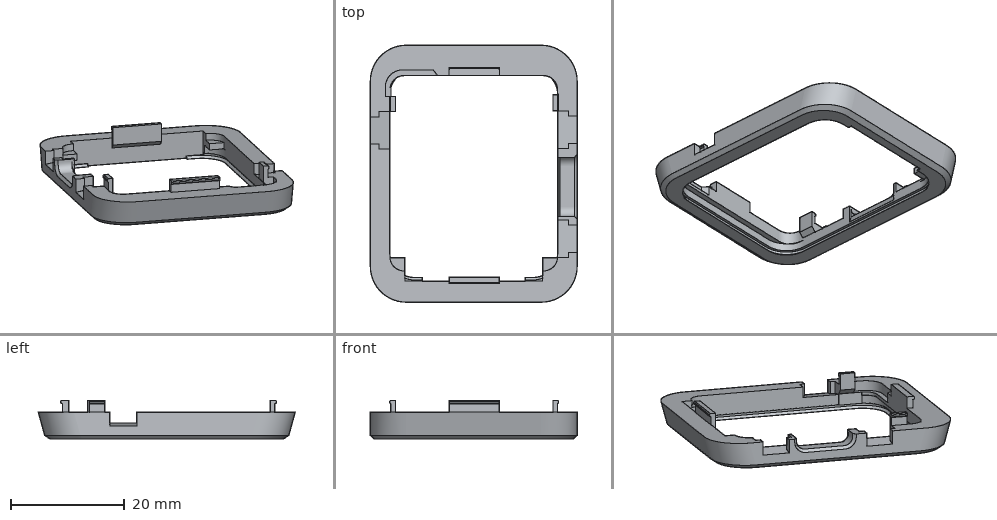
import cadquery as cq

BODY_X = 36.4
HALF_X = BODY_X / 2
BODY_Y = 45.2
RIM_Z = 4.75
CORNER_RADIUS = 6.35
TAPER_INSET_Y = 1.15
BEVEL_Z = 0.7
BEVEL_INSET_X = 0.72
BEVEL_INSET_Y = 1.0

OPENING_HALF_X = 14.75
OPENING_BACK_Y = 17.2
OPENING_FRONT_Y = -17.1
OPENING_RADIUS = 2.5
OPENING_SHELF_Z = 2.4
FRONT_BAY_HALF_X = 12.1
FRONT_BAY_Y = -18.9
BAY_SHOULDER_Y = -14.75
PAD_TOP_Z = 3.53

LOWER_HALF_Y = 18.2
LOWER_RADIUS = 4.3

UNDERCUT_DEPTH = 0.45
UNDERCUT_TOP_Z = 0.95

FOOT_GAP_HALF_X = 9.05

POCKET_FLOOR_Z = 3.0
POCKET_X = -15.55
POCKET_BACK_Y = 18.25
POCKET_RADIUS = 3.07
POCKET_END_X = -7.15
POCKET_SLANT = 0.8
LEDGE_WIDTH = 0.23
LEDGE_BACK_Y = 15.15

NOTCH_STEP_X = 16.65
NOTCH_OUTER_FLOOR_Z = 2.35
NOTCH_INNER_FLOOR_Z = 2.85
NOTCH_STEP_Y = 0.9
LEFT_NOTCH_Y = (4.35, 10.9)
RIGHT_BACK_NOTCH_Y = (4.45, 11.05)
RIGHT_FRONT_NOTCH_Y = (-14.75, -8.1)

SCOOP_FRONT_Y = -7.5
SCOOP_BACK_Y = 2.9
SCOOP_FLOOR_Z = 2.65
SCOOP_RADIUS = 1.6
SCOOP_BEVEL = 0.5
SCOOP_BEVEL_ANGLE = 45
SCOOP_INNER_STRIP = 0.45
SCOOP_STRIP_DROP = 1.3

TAB_TOP_Z = 6.83
HOOK_Z = 6.2
HOOK_CHAMFER = 0.2
TAB_ROOT_Z = 2.7
END_TAB_LENGTH = 8.85
END_TAB_CENTER_X = 0.1
LEFT_TAB_Y = (LEFT_NOTCH_Y[1], 13.6)
RIGHT_TAB_Y = (RIGHT_BACK_NOTCH_Y[1], 13.9)
BACK_TAB_FACES = (OPENING_BACK_Y, 18.35, 18.65, 18.55)
FRONT_TAB_FACES = (18.15, 19.0, 19.3, 19.1)
RIGHT_TAB_FACES = (13.9, 14.75, 14.9, 14.9)
LEFT_TAB_FACES = (13.75, 14.6, 14.8, 14.9)

OVERSHOOT = 0.45


def block(x_range, y_range, z_range):
    """Box given by its limits along each axis."""
    (x0, x1), (y0, y1), (z0, z1) = x_range, y_range, z_range
    return cq.Workplane("XY").box(x1 - x0, y1 - y0, z1 - z0, centered=False).translate((x0, y0, z0))


def rounded_loft(lower, upper, center_y=0.0):
    """Loft between two rounded rectangles, each (z, length x, length y, radius)."""
    z0, x0, y0, r0 = lower
    z1, x1, y1, r1 = upper
    lower_sketch = cq.Sketch().rect(x0, y0).vertices().fillet(r0)
    upper_sketch = cq.Sketch().rect(x1, y1).vertices().fillet(r1)
    return (
        cq.Workplane("XY", origin=(0, center_y, z0))
        .placeSketch(lower_sketch, upper_sketch.moved(cq.Location(cq.Vector(0, 0, z1 - z0))))
        .loft()
    )


def make_body():
    waist_y = BODY_Y - 2 * TAPER_INSET_Y
    waist = (BEVEL_Z, BODY_X, waist_y, CORNER_RADIUS)
    top = (RIM_Z, BODY_X, BODY_Y, CORNER_RADIUS)
    foot = (
        0,
        BODY_X - 2 * BEVEL_INSET_X,
        waist_y - 2 * BEVEL_INSET_Y,
        CORNER_RADIUS - BEVEL_INSET_X,
    )
    return rounded_loft(foot, waist).union(rounded_loft(waist, top))


def make_upper_opening():
    length_y = OPENING_BACK_Y - OPENING_FRONT_Y
    center_y = (OPENING_BACK_Y + OPENING_FRONT_Y) / 2
    outline = (2 * OPENING_HALF_X, length_y, OPENING_RADIUS)
    return rounded_loft((OPENING_SHELF_Z, *outline), (RIM_Z, *outline), center_y)


def make_lower_opening():
    """Lower opening with an undercut whose floor slopes down to the foot edge."""
    length_x = 2 * OPENING_HALF_X
    length_y = 2 * LOWER_HALF_Y
    grow = 2 * UNDERCUT_DEPTH
    plain = (length_x, length_y, LOWER_RADIUS)
    wide = (length_x + grow, length_y + grow, LOWER_RADIUS + UNDERCUT_DEPTH)
    through = rounded_loft((0, *plain), (OPENING_SHELF_Z, *plain))
    slope = rounded_loft((0, *plain), (UNDERCUT_DEPTH, *wide))
    undercut = rounded_loft((UNDERCUT_DEPTH, *wide), (UNDERCUT_TOP_Z, *wide))
    return through.union(slope).union(undercut)


def make_front_bay():
    """Straight recess in the front rail, narrower at its foot."""
    reach_y = (FRONT_BAY_Y, BAY_SHOULDER_Y)
    bay = block((-FRONT_BAY_HALF_X, FRONT_BAY_HALF_X), reach_y, (UNDERCUT_DEPTH, RIM_Z))
    return bay.union(block((-FOOT_GAP_HALF_X, FOOT_GAP_HALF_X), reach_y, (0, RIM_Z)))


def make_corner_pads():
    """Thin shelves across the two front corners of the opening."""
    pad = block(
        (FRONT_BAY_HALF_X, OPENING_HALF_X),
        (OPENING_FRONT_Y, BAY_SHOULDER_Y),
        (OPENING_SHELF_Z, PAD_TOP_Z),
    )
    return pad.union(pad.mirror("YZ"))


def make_pocket():
    """L-shaped pocket around the -X +Y corner of the opening, with a slanted end."""
    inner_x = POCKET_X + POCKET_RADIUS
    inner_y = POCKET_BACK_Y - POCKET_RADIUS
    return (
        cq.Workplane("XY", origin=(0, 0, POCKET_FLOOR_Z))
        .moveTo(POCKET_X, LEFT_TAB_Y[1])
        .lineTo(POCKET_X, inner_y)
        .radiusArc((inner_x, POCKET_BACK_Y), POCKET_RADIUS)
        .lineTo(POCKET_END_X, POCKET_BACK_Y)
        .lineTo(POCKET_END_X + POCKET_SLANT, OPENING_BACK_Y)
        .lineTo(inner_x, OPENING_BACK_Y - OPENING_RADIUS)
        .lineTo(inner_x, LEFT_TAB_Y[1])
        .close()
        .extrude(RIM_Z - POCKET_FLOOR_Z)
    )


def make_ledge():
    """Narrow ledge on the -X wall that carries the tab and edges the pocket floor."""
    return block(
        (-OPENING_HALF_X - LEDGE_WIDTH, -OPENING_HALF_X + LEDGE_WIDTH),
        (LEFT_TAB_Y[0], LEDGE_BACK_Y),
        (UNDERCUT_TOP_Z, POCKET_FLOOR_Z),
    )


def make_notch(y_range):
    """Notch across the +X rail: wider inside, with a floor falling outwards."""
    front_y, back_y = y_range
    depth = HALF_X - OPENING_HALF_X
    fall = NOTCH_INNER_FLOOR_Z - NOTCH_OUTER_FLOOR_Z
    run_out_x = OPENING_HALF_X + 2 * depth
    run_out_z = NOTCH_INNER_FLOOR_Z - 2 * fall
    wedge = (
        cq.Workplane("XZ", origin=(0, back_y, 0))
        .moveTo(OPENING_HALF_X, NOTCH_INNER_FLOOR_Z)
        .lineTo(run_out_x, run_out_z)
        .lineTo(run_out_x, RIM_Z)
        .lineTo(OPENING_HALF_X, RIM_Z)
        .close()
        .extrude(back_y - front_y)
    )
    outer_x = (NOTCH_STEP_X, HALF_X + OVERSHOOT)
    inner = block((OPENING_HALF_X, NOTCH_STEP_X), y_range, (0, RIM_Z))
    outer = block(outer_x, (front_y + NOTCH_STEP_Y, back_y - NOTCH_STEP_Y), (0, RIM_Z))
    return wedge.intersect(inner.union(outer))


def scoop_profile(x):
    """Scoop outline across the rail: upright ends turning into the floor through arcs."""
    shoulder_z = SCOOP_FLOOR_Z + SCOOP_RADIUS
    return (
        cq.Workplane("YZ", origin=(x, 0, 0))
        .moveTo(SCOOP_FRONT_Y, RIM_Z + OVERSHOOT)
        .lineTo(SCOOP_FRONT_Y, shoulder_z)
        .radiusArc((SCOOP_FRONT_Y + SCOOP_RADIUS, SCOOP_FLOOR_Z), -SCOOP_RADIUS)
        .lineTo(SCOOP_BACK_Y - SCOOP_RADIUS, SCOOP_FLOOR_Z)
        .radiusArc((SCOOP_BACK_Y, shoulder_z), -SCOOP_RADIUS)
        .lineTo(SCOOP_BACK_Y, RIM_Z + OVERSHOOT)
        .close()
    )


def make_scoop():
    trough = scoop_profile(OPENING_HALF_X).extrude(HALF_X - OPENING_HALF_X)
    flare = scoop_profile(HALF_X - SCOOP_BEVEL).extrude(SCOOP_BEVEL, taper=-SCOOP_BEVEL_ANGLE)
    inner_strip = (
        cq.Workplane("XZ", origin=(0, SCOOP_BACK_Y, 0))
        .moveTo(OPENING_HALF_X, SCOOP_FLOOR_Z - SCOOP_STRIP_DROP)
        .lineTo(OPENING_HALF_X + SCOOP_INNER_STRIP, SCOOP_FLOOR_Z)
        .lineTo(OPENING_HALF_X + SCOOP_INNER_STRIP, RIM_Z)
        .lineTo(OPENING_HALF_X, RIM_Z)
        .close()
        .extrude(SCOOP_BACK_Y - SCOOP_FRONT_Y)
    )
    return trough.union(flare).union(inner_strip)


def make_tab(faces, length):
    """Upright tab centred on Y, hook facing +X, on a bracket sloping back to the rail."""
    inner, outer, hook, rail = faces
    return (
        cq.Workplane("XZ", origin=(0, length / 2, 0))
        .moveTo(inner, TAB_ROOT_Z + rail - inner)
        .lineTo(rail, TAB_ROOT_Z)
        .lineTo(rail, RIM_Z)
        .lineTo(outer, RIM_Z)
        .lineTo(outer, HOOK_Z)
        .lineTo(hook, HOOK_Z + HOOK_CHAMFER)
        .lineTo(hook, TAB_TOP_Z - HOOK_CHAMFER)
        .lineTo(hook - HOOK_CHAMFER, TAB_TOP_Z)
        .lineTo(inner, TAB_TOP_Z)
        .close()
        .extrude(length)
    )


def make_end_tab(faces, angle):
    """Tab on an end rail, turned about Z from facing +X."""
    turned = make_tab(faces, END_TAB_LENGTH).rotate((0, 0, 0), (0, 0, 1), angle)
    return turned.translate((END_TAB_CENTER_X, 0, 0))


def make_side_tab(faces, y_range):
    """Tab on the +X rail, spanning the given range along Y."""
    return make_tab(faces, y_range[1] - y_range[0]).translate((0, sum(y_range) / 2, 0))


result = make_body().cut(make_upper_opening()).cut(make_lower_opening()).cut(make_front_bay())
result = result.union(make_corner_pads())
result = result.cut(make_pocket()).union(make_ledge())
result = result.cut(make_notch(RIGHT_BACK_NOTCH_Y)).cut(make_notch(RIGHT_FRONT_NOTCH_Y))
result = result.cut(make_notch(LEFT_NOTCH_Y).mirror("YZ"))
result = result.cut(make_scoop())
result = result.union(make_end_tab(BACK_TAB_FACES, 90)).union(make_end_tab(FRONT_TAB_FACES, -90))
result = result.union(make_side_tab(RIGHT_TAB_FACES, RIGHT_TAB_Y))
result = result.union(make_side_tab(LEFT_TAB_FACES, LEFT_TAB_Y).mirror("YZ"))